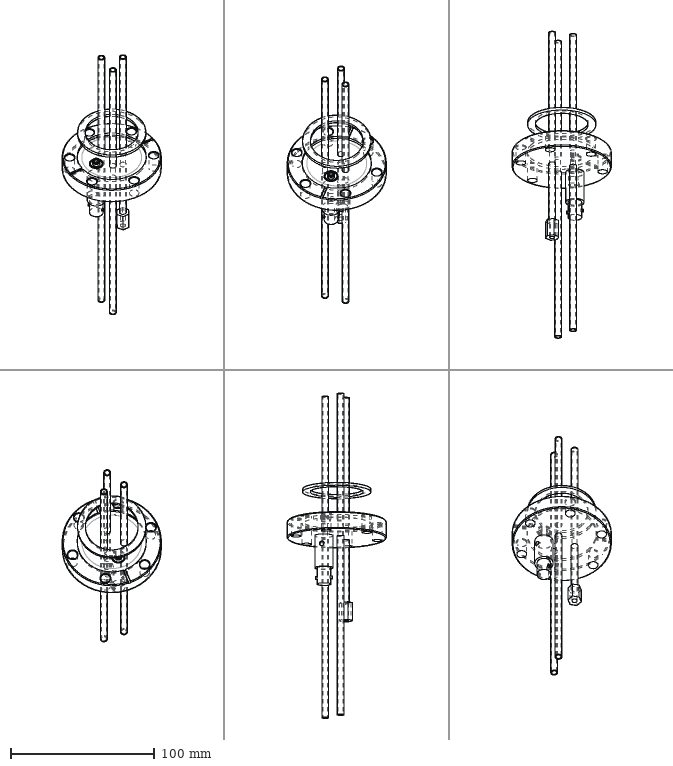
import cadquery as cq
import math


flange_diameter = 69.3
flange_thickness = 12.1
rim_chamfer = 0.7

bolt_count = 6
bolt_circle_diameter = 58.8
bolt_hole_diameter = 6.6
bolt_mouth_diameter = 7.5
bolt_mouth_angle = 90
first_bolt_angle = 90

recess_diameter = 48.2
recess_depth = 1.1
knife_diameter = 41.8
trough_depth = 2.0

groove_angle = 60
groove_width = 1.5
groove_depth = 1.1

gasket_outer_diameter = 47.8
gasket_inner_diameter = 36.8
gasket_thickness = 2.0
gasket_gap = 20.8

tube_outer_diameter = 4.8
tube_bore_diameter = 3.5
tube_circle_radius = 8.7
tube_circle_center = (0.35, 0.35)
tube_angles = (60, 180, 300)
tube_top = 101.3
tube_length = 228.5
tube_bottom = tube_top - tube_length

nut_sides = 6
nut_across_flats = 8.2
nut_length = 12.5
nut_bottom = -57.4

connector_center = (-6.5, -11.0)
sleeve_diameter = 12.8
sleeve_length = 22.9
plug_diameter = 9.5
plug_length = 11.7
bayonet_pin_diameter = 2.03
bayonet_span = 12.0
bayonet_drop = 7.0
vent_diameter = 3.2
vent_drop = 6.6
vent_depth = 1.8

collar_diameter = 9.5
collar_bore_diameter = 8.2
collar_height = 0.5
contact_diameter = 5.0
contact_neck_diameter = 3.7
contact_height = 3.2
contact_lip_height = 0.7
contact_groove_height = 0.7
contact_bore_diameter = 3.2
contact_bore_depth = 0.7

recess_floor = flange_thickness - recess_depth


def tube_center(angle):
    """Point on the tube circle at an angle in degrees from +X."""
    x, y = tube_circle_center
    turn = math.radians(angle)
    return (x + tube_circle_radius * math.cos(turn), y + tube_circle_radius * math.sin(turn))


def cylinder(diameter, bottom, top, center=(0, 0)):
    """Upright cylinder between two heights."""
    plane = cq.Workplane("XY", origin=(center[0], center[1], bottom))
    return plane.circle(diameter / 2).extrude(top - bottom)


def make_recess():
    """Sealing recess whose floor slopes down outwards from the knife edge."""
    profile = [
        (0, flange_thickness),
        (recess_diameter / 2, flange_thickness),
        (recess_diameter / 2, flange_thickness - trough_depth),
        (knife_diameter / 2, recess_floor),
        (0, recess_floor),
    ]
    return cq.Workplane("XZ").polyline(profile).close().revolve(360, (0, 0), (0, 1))


def make_flange():
    disc = cylinder(flange_diameter, 0, flange_thickness).edges().chamfer(rim_chamfer)
    bolted = (
        disc.faces(">Z")
        .workplane()
        .polarArray(bolt_circle_diameter / 2, first_bolt_angle, 360, bolt_count)
        .cskHole(bolt_hole_diameter, bolt_mouth_diameter, bolt_mouth_angle)
    )
    grooves = (
        cq.Workplane("XY", origin=(0, 0, flange_thickness - groove_depth))
        .rect(flange_diameter, groove_width)
        .extrude(groove_depth)
        .rotate((0, 0, 0), (0, 0, 1), groove_angle)
    )
    bridge = cylinder(recess_diameter, 0, flange_thickness)
    return bolted.cut(grooves.cut(bridge)).cut(make_recess())


def make_nut(center):
    across_corners = nut_across_flats / math.cos(math.pi / nut_sides)
    plane = cq.Workplane("XY", origin=(center[0], center[1], nut_bottom))
    return plane.polygon(nut_sides, across_corners).extrude(nut_length)


def make_connector():
    """Stepped connector with a vent hole and two bayonet pins."""
    x, y = connector_center
    plug_top = -sleeve_length
    sleeve = cylinder(sleeve_diameter, plug_top, 0, connector_center)
    plug = cylinder(plug_diameter, plug_top - plug_length, plug_top, connector_center)
    pins = (
        cq.Workplane("YZ", origin=(x, y, plug_top - bayonet_drop))
        .circle(bayonet_pin_diameter / 2)
        .extrude(bayonet_span / 2, both=True)
    )
    vent = (
        cq.Workplane("XZ", origin=(x, y - sleeve_diameter / 2 + vent_depth, -vent_drop))
        .circle(vent_diameter / 2)
        .extrude(vent_depth)
    )
    return sleeve.cut(vent).union(plug).union(pins)


def make_contact():
    """Collar around a bobbin-shaped contact that is recessed at its top."""
    lip_bottom = contact_height - contact_lip_height
    groove_bottom = lip_bottom - contact_groove_height
    profile = [
        (contact_bore_diameter / 2, contact_height - contact_bore_depth),
        (contact_bore_diameter / 2, contact_height),
        (contact_diameter / 2, contact_height),
        (contact_diameter / 2, lip_bottom),
        (contact_neck_diameter / 2, lip_bottom),
        (contact_neck_diameter / 2, groove_bottom),
        (contact_diameter / 2, groove_bottom),
        (contact_diameter / 2, 0),
        (0, 0),
        (0, contact_height - contact_bore_depth),
    ]
    x, y = connector_center
    contact = (
        cq.Workplane("XZ", origin=(x, y, recess_floor))
        .polyline(profile)
        .close()
        .revolve(360, (0, 0), (0, 1))
    )
    collar_top = recess_floor + collar_height
    collar = cylinder(collar_diameter, recess_floor, collar_top, connector_center)
    collar_bore = cylinder(collar_bore_diameter, recess_floor, collar_top, connector_center)
    return contact.union(collar.cut(collar_bore))


def make_feedthrough():
    """Flange with the connector and tubes welded into it."""
    body = make_flange().union(make_connector()).union(make_contact())
    centers = [tube_center(angle) for angle in tube_angles]
    bottoms = [nut_bottom, tube_bottom, tube_bottom]
    body = body.union(make_nut(centers[0]))
    for center, bottom in zip(centers, bottoms):
        body = body.union(cylinder(tube_outer_diameter, bottom, tube_top, center))
    for center, bottom in zip(centers, bottoms):
        body = body.cut(cylinder(tube_bore_diameter, bottom, tube_top, center))
    return body


def make_gasket():
    bottom = flange_thickness + gasket_gap
    top = bottom + gasket_thickness
    ring = cylinder(gasket_outer_diameter, bottom, top)
    return ring.cut(cylinder(gasket_inner_diameter, bottom, top))


feedthrough = make_feedthrough()
gasket = make_gasket()
result = cq.Compound.makeCompound([feedthrough.val(), gasket.val()])